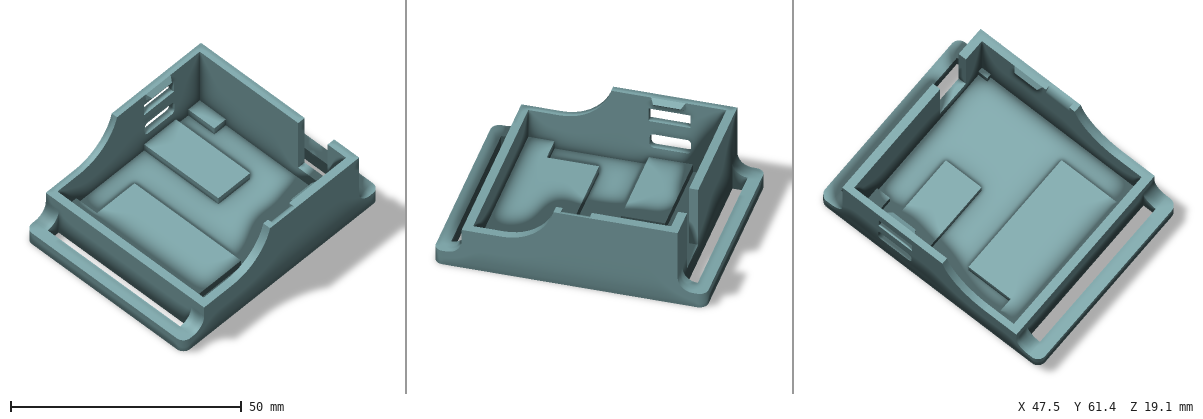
import cadquery as cq
import math

width = 47.45
length = 61.4
height = 19.1
corner_radius = 2.0

tray_length = 48.6
left_wall = 1.6
thick_wall = 2.0
floor_height = 1.0
low_wall_height = 10.1
side_arc_radius = 11.95
side_arc_end_y = -15.2

bar_height = 3.6
strap_slot_width = 3.45
strap_leg_width = 3.85

pad_height = 1.95
corner_pad_x = -14.3
corner_pad_y = 18.65
port_pad_x = 0.1
port_pad_y = (4.85, 14.8)
board_pad_x = (-15.95, 15.95)
board_pad_y = -4.6
board_arm_y = -16.4
corner_tab_x = 20.5
corner_tab_y = 19.8
wall_overlap = 0.6

cable_slot_x = (7.35, 16.2)
cable_slot_bottom = 4.3
window_y = (4.8, 14.2)
window_z = (12.65, 16.0)
port_y = (5.05, 14.35)
port_z = (5.65, 9.25)
port_corner_radius = 1.0

ridge_y = (5.35, 13.15)
ridge_height = 1.95
ridge_tip_height = 0.01
ridge_end_taper = 0.8
left_ridge_depth = 1.15
right_ridge_depth = 1.0
rounded_edge_y = (-2.15, 4.4)

left_x = -width / 2
right_x = width / 2
inner_left = left_x + left_wall
inner_right = right_x - thick_wall
tray_y = tray_length / 2
inner_y = tray_y - thick_wall


def box(x_range, y_range, z_range):
    """Box spanning the given coordinate ranges."""
    size = [high - low for low, high in (x_range, y_range, z_range)]
    return cq.Workplane("XY").box(*size, centered=False).translate((x_range[0], y_range[0], z_range[0]))


def body():
    """Extrude the side profile, then round the vertical corners of the base."""
    fillet_y = tray_y + strap_slot_width
    fillet_top = bar_height + strap_slot_width
    fillet_mid = strap_slot_width * (1 - math.sqrt(0.5))
    arc_center_z = low_wall_height + side_arc_radius
    arc_start_angle = math.asin((arc_center_z - height) / side_arc_radius)
    arc_mid_angle = (arc_start_angle + math.pi / 2) / 2
    arc_start = (side_arc_end_y + side_arc_radius * math.cos(arc_start_angle), height)
    arc_mid = (
        side_arc_end_y + side_arc_radius * math.cos(arc_mid_angle),
        arc_center_z - side_arc_radius * math.sin(arc_mid_angle),
    )
    profile = (
        cq.Workplane("YZ", origin=(left_x, 0, 0))
        .moveTo(-length / 2, 0)
        .lineTo(length / 2, 0)
        .lineTo(length / 2, bar_height)
        .lineTo(fillet_y, bar_height)
        .threePointArc((tray_y + fillet_mid, bar_height + fillet_mid), (tray_y, fillet_top))
        .lineTo(tray_y, height)
        .lineTo(*arc_start)
        .threePointArc(arc_mid, (side_arc_end_y, low_wall_height))
        .lineTo(-tray_y, low_wall_height)
        .lineTo(-tray_y, fillet_top)
        .threePointArc((-tray_y - fillet_mid, bar_height + fillet_mid), (-fillet_y, bar_height))
        .lineTo(-length / 2, bar_height)
        .close()
        .extrude(width)
    )
    footprint = cq.Workplane("XY").rect(width, length).extrude(height).edges("|Z").fillet(corner_radius)
    return profile.intersect(footprint)


def strap_slots():
    """Vertical openings between the tray and the two strap bars."""
    slot_x = width / 2 - strap_leg_width
    return (
        cq.Workplane("XY")
        .pushPoints([(0, side * (tray_y + strap_slot_width / 2)) for side in (-1, 1)])
        .rect(2 * slot_x, strap_slot_width)
        .extrude(height)
    )


def floor_pads():
    """Raised board supports, joined to the floor and walls."""
    pad_z = (0, floor_height + pad_height)
    left_start = left_x + wall_overlap
    right_end = right_x - wall_overlap
    front_start = -tray_y + wall_overlap
    back_end = tray_y - wall_overlap
    corner_pad = box((left_start, corner_pad_x), (corner_pad_y, back_end), pad_z)
    port_pad = box((left_start, port_pad_x), port_pad_y, pad_z)
    board_pad = box(board_pad_x, (front_start, board_pad_y), pad_z)
    board_pad_arm = box((left_start, board_pad_x[0]), (front_start, board_arm_y), pad_z)
    corner_tab = box((corner_tab_x, right_end), (corner_tab_y, back_end), pad_z)
    return corner_pad.union(port_pad).union(board_pad).union(board_pad_arm).union(corner_tab)


def snap_ridge(wall_x, depth):
    """Tapered ridge on a wall; a positive depth points toward +X."""
    ridge_length = ridge_y[1] - ridge_y[0]
    tip_length = ridge_length - 2 * ridge_end_taper
    center = (wall_x, sum(ridge_y) / 2, height - ridge_height / 2)
    return (
        cq.Workplane(cq.Plane(origin=center, xDir=(0, 1, 0), normal=(math.copysign(1, depth), 0, 0)))
        .rect(ridge_length, ridge_height)
        .workplane(offset=abs(depth))
        .rect(tip_length, ridge_tip_height)
        .loft(ruled=True)
    )


def rounded_edge_cut():
    """Waste above the quarter-round stretch of the right wall."""
    mid = thick_wall * (1 - math.sqrt(0.5))
    return (
        cq.Workplane("XZ", origin=(0, rounded_edge_y[1], 0))
        .moveTo(inner_right, height)
        .lineTo(inner_right, height - thick_wall)
        .threePointArc((inner_right + mid, height - mid), (right_x, height))
        .close()
        .extrude(rounded_edge_y[1] - rounded_edge_y[0])
    )


def side_openings():
    """Rectangular window and rounded port through the left wall."""
    wall_x = (left_x, inner_left)
    port = box(wall_x, port_y, port_z).edges("|X").fillet(port_corner_radius)
    return box(wall_x, window_y, window_z).union(port)


cavity = box((inner_left, inner_right), (-inner_y, inner_y), (floor_height, height))
cable_slot = box(cable_slot_x, (inner_y, tray_y), (cable_slot_bottom, height))

result = (
    body()
    .cut(strap_slots())
    .cut(cavity)
    .union(floor_pads())
    .cut(cable_slot)
    .cut(side_openings())
    .cut(rounded_edge_cut())
    .union(snap_ridge(inner_left, left_ridge_depth))
    .union(snap_ridge(inner_right, -right_ridge_depth))
)